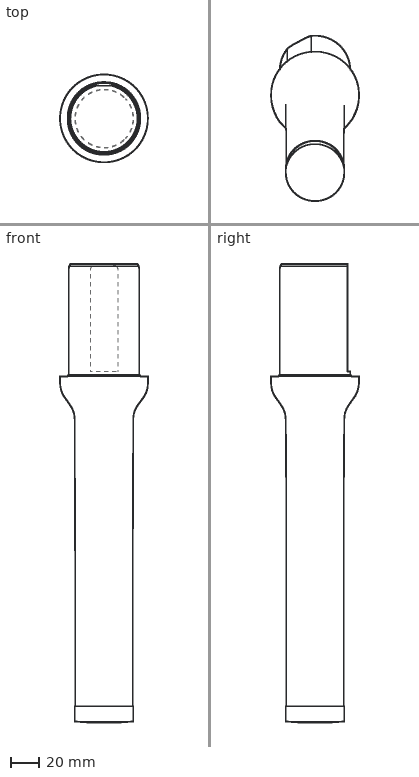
import cadquery as cq

total_height = 325.0
rim_height = 1.0
head_top = 11.7
taper_bottom = 112.5
taper_top = 210.0
neck_top = 214.8
collar_band_bottom = 240.5
collar_top = 245.5
foot_middle = 246.5
foot_top = 247.3
flat_bottom = 249.0
shank_bevel_bottom = 321.8
shank_bevel_middle = 323.5

tip_diameter = 15.5
head_diameter = 41.5
stem_diameter = 41.0
neck_diameter = 41.5
collar_diameter = 62.5
foot_diameter = 51.7
foot_middle_diameter = 50.5
shank_diameter = 50.0
bevel_middle_diameter = 49.5
shank_end_diameter = 47.5

flat_depth = 2.0


def make_head():
    """Cutting head: a short disc whose end face is a shallow cone with a blunt tip."""
    return (
        cq.Workplane("XZ")
        .lineTo(tip_diameter / 2, 0)
        .lineTo(head_diameter / 2, rim_height)
        .lineTo(head_diameter / 2, head_top)
        .lineTo(0, head_top)
        .close()
        .revolve(360, (0, 0, 0), (0, 1, 0))
    )


def make_turned_holder():
    """Stem, tapered section, neck, flared collar, two-cone foot and bevelled shank, turned."""
    neck_radius = neck_diameter / 2
    collar_radius = collar_diameter / 2
    shank_radius = shank_diameter / 2
    vertical = (0, 1)
    return (
        cq.Workplane("XZ")
        .moveTo(0, head_top)
        .lineTo(stem_diameter / 2, head_top)
        .lineTo(stem_diameter / 2, taper_bottom)
        .lineTo(neck_radius, taper_top)
        .lineTo(neck_radius, neck_top)
        .spline([(collar_radius, collar_band_bottom)], tangents=[vertical, vertical], includeCurrent=True)
        .lineTo(collar_radius, collar_top)
        .lineTo(foot_diameter / 2, collar_top)
        .lineTo(foot_middle_diameter / 2, foot_middle)
        .lineTo(shank_radius, foot_top)
        .lineTo(shank_radius, shank_bevel_bottom)
        .lineTo(bevel_middle_diameter / 2, shank_bevel_middle)
        .lineTo(shank_end_diameter / 2, total_height)
        .lineTo(0, total_height)
        .close()
        .revolve(360, (0, 0, 0), (0, 1, 0))
    )


def make_flat_cutter():
    """Block that removes the clamping flat from the +Y side of the shank."""
    return (
        cq.Workplane("XY")
        .workplane(offset=flat_bottom)
        .center(0, shank_diameter / 2)
        .rect(shank_diameter, 2 * flat_depth)
        .extrude(total_height - flat_bottom)
    )


head = make_head()
holder = make_turned_holder().cut(make_flat_cutter())

result = cq.Compound.makeCompound([head.val(), holder.val()])